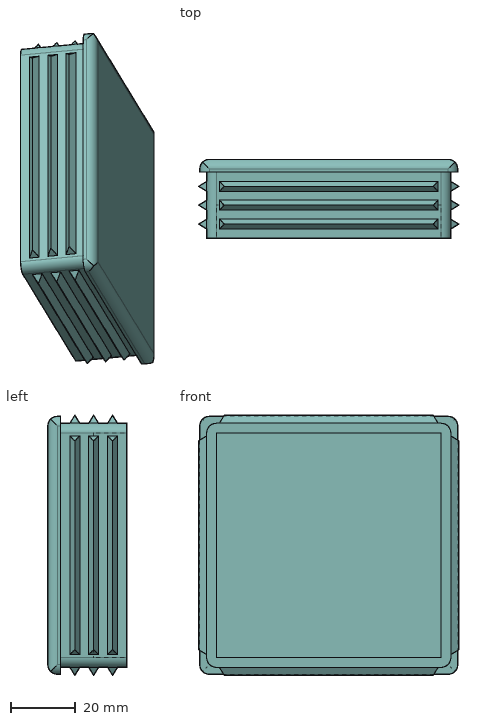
import cadquery as cq

overall_width = 80.71
overall_depth = 24.5

cap_width = 80.0
cap_thickness = 4.0
cap_corner_radius = 3.0
cap_edge_radius = 3.0

skirt_width = 75.66
skirt_corner_radius = 3.0
wall_thickness = 3.0
cavity_depth = 10.35

rib_base_width = 3.1
rib_length = 67.8
rib_pitch = 5.85
ribs_per_side = 3
first_rib_from_cap = 4.38

skirt_depth = overall_depth - cap_thickness
cavity_width = skirt_width - 2 * wall_thickness
rib_height = (overall_width - skirt_width) / 2
rib_root = wall_thickness / 2
cap_back = overall_depth / 2
cap_front = cap_back - cap_thickness
open_end = -overall_depth / 2


def square_block(width, front, depth):
    """Square block centred on the Y axis, from y = front to front + depth."""
    plane = cq.Workplane("XZ", origin=(0, front, 0))
    return plane.rect(width, width).extrude(-depth)


def make_cap():
    """Flange whose rounded back edges meet in mitres, trimmed by the rounded outline."""
    block = square_block(cap_width, cap_front, cap_thickness)
    outline = block.edges("|Y").fillet(cap_corner_radius)
    return block.faces(">Y").edges().fillet(cap_edge_radius).intersect(outline)


def make_skirt():
    skirt = square_block(skirt_width, open_end, skirt_depth)
    return skirt.edges("|Y").fillet(skirt_corner_radius)


def make_rib(y):
    """Hip-roof rib on the +Z side: the crest is shorter than the base on all sides."""
    half_width = rib_base_width / 2
    crest_length = rib_length - rib_base_width
    base_z = skirt_width / 2
    root = cq.Workplane("XY", origin=(0, y, base_z - rib_root))
    root = root.rect(rib_length, rib_base_width).extrude(rib_root)
    profile = [(y - half_width, base_z), (y + half_width, base_z), (y, base_z + rib_height)]
    ridge = cq.Workplane("YZ").polyline(profile).close().extrude(rib_length / 2, both=True)
    slope = [
        (-rib_length / 2, base_z),
        (rib_length / 2, base_z),
        (crest_length / 2, base_z + rib_height),
        (-crest_length / 2, base_z + rib_height),
    ]
    hip = cq.Workplane("XZ", origin=(0, y, 0)).polyline(slope).close()
    hip = hip.extrude(rib_base_width, both=True)
    return root.union(ridge.intersect(hip))


def add_ribs(body):
    for row in range(ribs_per_side):
        rib = make_rib(cap_front - first_rib_from_cap - row * rib_pitch)
        for side in range(4):
            body = body.union(rib.rotate((0, 0, 0), (0, 1, 0), 90 * side))
    return body


result = make_cap().union(make_skirt())
result = add_ribs(result)
result = result.cut(square_block(cavity_width, open_end, cavity_depth))